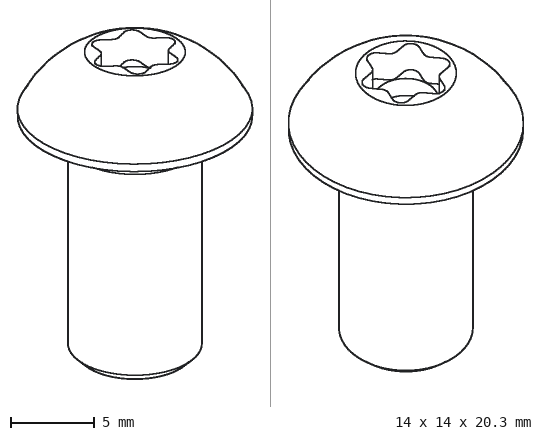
import cadquery as cq
import math

total_length = 20.3
head_diameter = 14.0
head_top_diameter = 6.0
head_height = 4.32
rim_height = 0.5
shank_diameter = 8.0
tip_chamfer = 0.59
neck_height = 1.8

recess_depth = 2.03
lobe_count = 6
flank_distance = 1.66
lobe_tip_radius = 0.55
lobe_root_radius = 0.53
drill_diameter = 3.9
drill_depth = 1.32
drill_point_angle = 120.0

head_radius = head_diameter / 2
head_top_radius = head_top_diameter / 2
shank_radius = shank_diameter / 2
head_bottom = total_length - head_height
rim_top = head_bottom + rim_height
neck_bottom = head_bottom - neck_height
neck_groove_radius = neck_height / 2


def dome_midpoint():
    """Point halfway along the dome arc, whose centre lies on the screw axis."""
    drop = total_length - rim_top
    centre_drop = (head_radius**2 - head_top_radius**2 + drop**2) / (2 * drop)
    dome_radius = math.hypot(head_top_radius, centre_drop)
    top_angle = math.atan2(centre_drop, head_top_radius)
    rim_angle = math.atan2(centre_drop - drop, head_radius)
    middle_angle = (top_angle + rim_angle) / 2
    return (
        dome_radius * math.cos(middle_angle),
        total_length - centre_drop + dome_radius * math.sin(middle_angle),
    )


def screw_body():
    """Revolve the half profile: chamfered shank, round neck groove and domed head."""
    groove_middle = (shank_radius - neck_groove_radius, neck_bottom + neck_groove_radius)
    return (
        cq.Workplane("XZ")
        .moveTo(0, 0)
        .lineTo(shank_radius - tip_chamfer, 0)
        .lineTo(shank_radius, tip_chamfer)
        .lineTo(shank_radius, neck_bottom)
        .threePointArc(groove_middle, (shank_radius, head_bottom))
        .lineTo(head_radius, head_bottom)
        .lineTo(head_radius, rim_top)
        .threePointArc(dome_midpoint(), (head_top_radius, total_length))
        .lineTo(0, total_length)
        .close()
        .revolve(360, (0, 0, 0), (0, 1, 0))
    )


def star_points():
    """Sharp star corners, alternating tip and root, with a tip on +Y."""
    half_step = math.pi / lobe_count
    root_reach = flank_distance / math.cos(half_step)
    tip_reach = flank_distance / math.cos(2 * half_step)
    points = []
    for index in range(2 * lobe_count):
        reach = tip_reach if index % 2 == 0 else root_reach
        angle = math.pi / 2 + index * half_step
        points.append((reach * math.cos(angle), reach * math.sin(angle)))
    return points


def recess():
    """Star-shaped socket with rounded corners and a pointed drilled hole below its floor."""
    floor = total_length - recess_depth
    corners = star_points()
    star = cq.Workplane("XY", origin=(0, 0, floor)).polyline(corners).close().extrude(recess_depth)
    for points, radius in ((corners[0::2], lobe_tip_radius), (corners[1::2], lobe_root_radius)):
        for x, y in points:
            corner_edge = cq.selectors.NearestToPointSelector((x, y, floor + recess_depth / 2))
            star = star.edges("|Z").edges(corner_edge).fillet(radius)

    drill_radius = drill_diameter / 2
    drill_bottom = floor - drill_depth
    drill_tip = drill_bottom - drill_radius / math.tan(math.radians(drill_point_angle / 2))
    drilled_hole = (
        cq.Workplane("XZ")
        .polyline([(0, floor), (drill_radius, floor), (drill_radius, drill_bottom), (0, drill_tip)])
        .close()
        .revolve(360, (0, 0, 0), (0, 1, 0))
    )
    return star.union(drilled_hole)


result = screw_body().cut(recess())